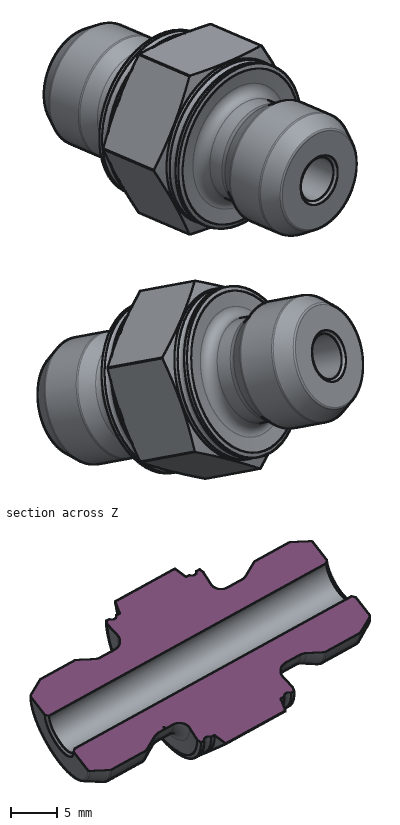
import cadquery as cq
import math

length = 36.5
end_x = -length / 2

bore_diameter = 5.0
bore_chamfer = 0.33

head_diameter = 14.0
neck_diameter = 11.6
cone_angle = math.radians(30)
nose_corner_x = end_x + 2.1
head_back_x = end_x + 6.68
nose_round = 0.25
head_round = 0.35
neck_round = 1.28

collar_diameter = 18.8
lip_x = end_x + 12.05
lip_diameter = 17.75
lip_bevel = 0.15
lip_face_angle = math.radians(5)
collar_fillet = 1.25
groove_center_x = end_x + 13.05
groove_width = 0.88
groove_depth = 0.3

hex_across_flats = 19.0
hex_corner_diameter = 21.9
hex_width = 8.55
hex_chamfer_angle = math.radians(15)


def make_plug():
    """Left half of the turned body, from the end face to the mid-plane."""
    head_radius = head_diameter / 2
    neck_radius = neck_diameter / 2
    lip_radius = lip_diameter / 2
    collar_radius = collar_diameter / 2

    nose_radius = head_radius - (nose_corner_x - end_x) * math.tan(cone_angle)
    cone_end_x = head_back_x + (head_radius - neck_radius) / math.tan(cone_angle)

    sine = math.sin(lip_face_angle)
    cosine = math.cos(lip_face_angle)
    arc_r = neck_radius + collar_fillet
    arc_x = lip_x - (collar_fillet - (lip_radius - arc_r) * sine) / cosine

    def arc_point(angle):
        return (arc_x + collar_fillet * math.cos(angle), arc_r + collar_fillet * math.sin(angle))

    arc_middle_angle = (lip_face_angle - math.pi / 2) / 2

    profile = (
        cq.Workplane("XY")
        .moveTo(end_x, 0)
        .lineTo(end_x, nose_radius)
        .lineTo(nose_corner_x, head_radius)
        .lineTo(head_back_x, head_radius)
        .lineTo(cone_end_x, neck_radius)
        .lineTo(arc_x, neck_radius)
        .threePointArc(arc_point(arc_middle_angle), arc_point(lip_face_angle))
        .lineTo(lip_x, lip_radius)
        .lineTo(lip_x + lip_bevel, collar_radius)
        .lineTo(groove_center_x - groove_width / 2, collar_radius)
        .threePointArc(
            (groove_center_x, collar_radius - groove_depth),
            (groove_center_x + groove_width / 2, collar_radius),
        )
        .lineTo(0, collar_radius)
        .lineTo(0, 0)
        .close()
    )
    plug = profile.revolve(360, (0, 0, 0), (1, 0, 0))

    def round_edge(body, x, radius):
        tolerance = 0.005
        edges = body.edges("%CIRCLE").filter(lambda edge: abs(edge.Center().x - x) < tolerance)
        return edges.fillet(radius)

    plug = round_edge(plug, end_x, nose_round)
    plug = round_edge(plug, nose_corner_x, head_round)
    plug = round_edge(plug, head_back_x, head_round)
    return round_edge(plug, cone_end_x, neck_round)


def make_hexagon():
    """Hexagonal prism with corners turned to a diameter and cut by a shallow cone at each end."""
    across_corners = hex_across_flats / math.cos(math.pi / 6)
    flat_radius = hex_across_flats / 2
    corner_radius = hex_corner_diameter / 2
    chamfer_length = (corner_radius - flat_radius) * math.tan(hex_chamfer_angle)
    half_width = hex_width / 2

    prism = cq.Workplane("YZ").polygon(6, across_corners).extrude(half_width, both=True)
    envelope = (
        cq.Workplane("XY")
        .moveTo(-half_width, 0)
        .lineTo(-half_width, flat_radius)
        .lineTo(-half_width + chamfer_length, corner_radius)
        .lineTo(half_width - chamfer_length, corner_radius)
        .lineTo(half_width, flat_radius)
        .lineTo(half_width, 0)
        .close()
        .revolve(360, (0, 0, 0), (1, 0, 0))
    )
    return prism.intersect(envelope)


def make_bore():
    """Through bore, widened by a 45 degree chamfer at both ends."""
    bore_radius = bore_diameter / 2
    mouth_radius = bore_radius + bore_chamfer
    return (
        cq.Workplane("XY")
        .moveTo(end_x, 0)
        .lineTo(end_x, mouth_radius)
        .lineTo(end_x + bore_chamfer, bore_radius)
        .lineTo(-end_x - bore_chamfer, bore_radius)
        .lineTo(-end_x, mouth_radius)
        .lineTo(-end_x, 0)
        .close()
        .revolve(360, (0, 0, 0), (1, 0, 0))
    )


left_plug = make_plug()
right_plug = left_plug.mirror("YZ")
result = left_plug.union(right_plug).union(make_hexagon()).cut(make_bore())